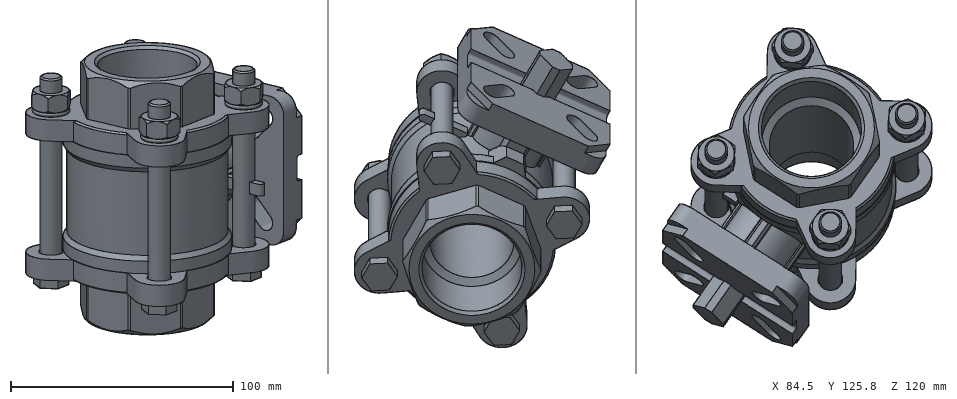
import cadquery as cq
import math

overall_length = 120.0
half_length = overall_length / 2
flange_outer_z = 38.0
flange_inner_z = 27.9

body_radius = 72.5 / 2
collar_radius = 38.0
collar_z = 22.0
collar_taper = 2.3
flange_radius = 37.6
flange_edge_drop = 0.8
flange_edge_width = 1.0

port_sides = 8
port_across_flats = 57.8
port_corner_radius = 31.0
port_chamfer = 2.8
bore_radius = 19.0
socket_radius = 44.9 / 2
socket_depth = 24.0
socket_chamfer = 1.4
socket_cone_height = 2.1

flange_span = 84.5
bolt_spacing = 61.7
bolt_offset = bolt_spacing / 2
bolt_radius = 5.0
bolt_hole_radius = 11.0 / 2
bolt_top_z = 55.1
bolt_tip_chamfer = 0.8
ear_radius = (flange_span - bolt_spacing) / 2
ear_flare = 12.4

washer_radius = 17.0 / 2
washer_height = 2.0
nut_corner_radius = 18.7 / 2
nut_height = 8.4
nut_chamfer = 1.3
head_across_flats = 14.0
head_height = 5.3

neck_radius = 16.3
neck_start_y = 30.2
rib_half_width = 2.8
rib_tip_chamfer = 1.3
side_rib_reach = 18.1
top_rib_reach = 19.0
keel_tip_half_width = 4.4
keel_root_half_width = 6.5
keel_root_z = -14.7
keel_bottom_z = -18.4
block_front_y = 42.6
block_side_slope = 0.67

plate_inner_y = 54.7
plate_outer_y = 67.9
plate_side = 70.3
plate_corner_radius = 7.9
plate_corner_cut = 11.0
plate_cut_depth = 3.9
groove_width = 12.2
groove_depth = 3.4
groove_rounding = 1.3
slot_width = 8.3
slot_inner_offset = 17.4
slot_outer_offset = 24.6

stem_end_y = 83.5
stem_reach = 8.2
stem_flat_half = 1.9

lug_end_x = flange_span / 2
lug_half_height = 2.8
lug_start_x = 18.9
lug_half_width = 1.9


def cylinder(radius, bottom, top):
    return cq.Workplane("XY").workplane(offset=bottom).circle(radius).extrude(top - bottom)


def prism_along_y(outline, start, end):
    """Extrude an outline of (x, z) points between two Y positions."""
    return cq.Workplane("XZ", origin=(0, start, 0)).polyline(outline).close().extrude(start - end)


def regular_prism(sides, corner_radius, bottom, top, turn):
    return (
        cq.Workplane("XY")
        .workplane(offset=bottom)
        .transformed(rotate=(0, 0, turn))
        .polygon(sides, 2 * corner_radius)
        .extrude(top - bottom)
    )


def four_corners(shape):
    """Repeat a shape placed at the +X +Y bolt around the pipe axis."""
    copies = shape
    for turn in (90, 180, 270):
        copies = copies.union(shape.rotate((0, 0, 0), (0, 0, 1), turn))
    return copies


def make_body():
    barrel = cylinder(body_radius, -flange_inner_z, flange_inner_z)
    collar_profile = [
        (0, collar_z - collar_taper),
        (body_radius, collar_z - collar_taper),
        (collar_radius, collar_z),
        (collar_radius, flange_inner_z),
        (0, flange_inner_z),
    ]
    collar = cq.Workplane("XZ").polyline(collar_profile).close().revolve(360, (0, 0, 0), (0, 1, 0))
    return barrel.union(collar).union(collar.mirror("XY"))


def make_ear():
    """Rounded bolt ear whose sides spread towards the pipe axis, without its hole."""
    flare = math.radians(ear_flare)
    centre_distance = bolt_offset * math.sqrt(2)
    root_distance = port_across_flats / 2
    tangent_x = centre_distance + ear_radius * math.sin(flare)
    tangent_y = ear_radius * math.cos(flare)
    root_y = tangent_y + (tangent_x - root_distance) * math.tan(flare)
    return (
        cq.Workplane("XY")
        .workplane(offset=flange_inner_z)
        .moveTo(root_distance, -root_y)
        .lineTo(tangent_x, -tangent_y)
        .threePointArc((centre_distance + ear_radius, 0), (tangent_x, tangent_y))
        .lineTo(root_distance, root_y)
        .close()
        .extrude(flange_outer_z - flange_inner_z)
        .rotate((0, 0, 0), (0, 0, 1), 45)
    )


def make_end_cap():
    """Upper flange with its four ears and the octagonal port."""
    disc = cylinder(flange_radius, flange_inner_z, flange_outer_z)
    disc = disc.faces(">Z").chamfer(flange_edge_drop, flange_edge_width)
    hole = cylinder(bolt_hole_radius, flange_inner_z, flange_outer_z)
    hole = hole.translate((bolt_offset, bolt_offset, 0))

    corner_radius = port_across_flats / 2 / math.cos(math.pi / port_sides)
    octagon = regular_prism(port_sides, corner_radius, flange_outer_z, half_length, 180 / port_sides)
    turned = cylinder(port_corner_radius, flange_outer_z, half_length)
    turned = turned.faces(">Z").chamfer(port_chamfer)
    return disc.union(four_corners(make_ear())).cut(four_corners(hole)).union(octagon.intersect(turned))


def make_socket():
    """Space removed by the stepped bore of the upper half."""
    rim_z = half_length - socket_chamfer
    step_z = half_length - socket_depth
    profile = [
        (0, 0),
        (bore_radius, 0),
        (bore_radius, step_z - socket_cone_height),
        (socket_radius, step_z),
        (socket_radius, rim_z),
        (socket_radius + socket_chamfer, half_length),
        (0, half_length),
    ]
    return cq.Workplane("XZ").polyline(profile).close().revolve(360, (0, 0, 0), (0, 1, 0))


def make_bolts():
    """The four through bolts; each nut is a quarter turn from the next, the heads all align."""
    washer_top = flange_outer_z + washer_height
    nut_top = washer_top + nut_height
    shank = cylinder(bolt_radius, -flange_outer_z, bolt_top_z).faces(">Z").chamfer(bolt_tip_chamfer)
    rim_start = washer_radius - washer_height / 2
    washer = (
        cq.Workplane("XZ")
        .moveTo(0, flange_outer_z)
        .lineTo(rim_start, flange_outer_z)
        .threePointArc((washer_radius, flange_outer_z + washer_height / 2), (rim_start, washer_top))
        .lineTo(0, washer_top)
        .close()
        .revolve(360, (0, 0, 0), (0, 1, 0))
    )
    nut_turned = cylinder(nut_corner_radius, washer_top, nut_top).edges().chamfer(nut_chamfer)
    nut = regular_prism(6, nut_corner_radius, washer_top, nut_top, 0).intersect(nut_turned)
    bolt = shank.union(washer).union(nut)
    bolts = four_corners(bolt.translate((bolt_offset, bolt_offset, 0)))

    head_corner_radius = head_across_flats / math.sqrt(3)
    head = regular_prism(6, head_corner_radius, -flange_outer_z - head_height, -flange_outer_z, 90)
    for side_x in (-1, 1):
        for side_y in (-1, 1):
            bolts = bolts.union(head.translate((side_x * bolt_offset, side_y * bolt_offset, 0)))
    return bolts


def make_rib(reach):
    """Narrow rib on the +Z side of the neck with a chamfered tip."""
    tip_half = rib_half_width - rib_tip_chamfer
    outline = [
        (-rib_half_width, 0),
        (-rib_half_width, reach - rib_tip_chamfer),
        (-tip_half, reach),
        (tip_half, reach),
        (rib_half_width, reach - rib_tip_chamfer),
        (rib_half_width, 0),
    ]
    return prism_along_y(outline, neck_start_y, plate_inner_y)


def make_neck():
    """Ribbed stem neck with a keel that drops into a block on the lower flange."""
    neck = cq.Workplane("XZ", origin=(0, neck_start_y, 0)).circle(neck_radius)
    neck = neck.extrude(neck_start_y - plate_inner_y)
    neck = neck.union(make_rib(top_rib_reach))
    for turn in (-90, 90):
        neck = neck.union(make_rib(side_rib_reach).rotate((0, 0, 0), (0, 1, 0), turn))

    keel_outline = [
        (-keel_root_half_width, 0),
        (-keel_root_half_width, keel_root_z),
        (-keel_tip_half_width, keel_bottom_z),
        (keel_tip_half_width, keel_bottom_z),
        (keel_root_half_width, keel_root_z),
        (keel_root_half_width, 0),
    ]
    keel = prism_along_y(keel_outline, neck_start_y, plate_inner_y)

    block_back_half = keel_tip_half_width + block_side_slope * (block_front_y - neck_start_y)
    block_outline = [
        (-block_back_half, neck_start_y),
        (block_back_half, neck_start_y),
        (keel_tip_half_width, block_front_y),
        (-keel_tip_half_width, block_front_y),
    ]
    block = cq.Workplane("XY").workplane(offset=-flange_inner_z).polyline(block_outline).close()
    block = block.extrude(flange_inner_z + keel_root_z)
    return neck.union(keel).union(block)


def make_plate():
    """Square actuator plate with corner cuts, a cross groove and four diagonal slots."""
    thickness = plate_outer_y - plate_inner_y
    middle_y = (plate_inner_y + plate_outer_y) / 2
    plate = cq.Workplane("XY").box(plate_side, thickness, plate_side).translate((0, middle_y, 0))
    plate = plate.edges("|Y").fillet(plate_corner_radius)

    cut_y = plate_outer_y - plate_cut_depth
    plain = cq.Workplane("XY").box(plate_side, plate_cut_depth, plate_side)
    chamfered = plain.edges("|Y").chamfer(plate_corner_cut)
    chamfered = chamfered.translate((0, cut_y + plate_cut_depth / 2, 0))
    plate = plate.cut(plain.translate((0, cut_y + plate_cut_depth / 2, 0))).union(chamfered)

    groove = cq.Workplane("XY").box(plate_side, groove_depth, groove_width)
    groove = groove.edges("|X and <Y").fillet(groove_rounding)
    plate = plate.cut(groove.translate((0, plate_outer_y - groove_depth / 2, 0)))

    slot_length = (slot_outer_offset - slot_inner_offset) * math.sqrt(2) + slot_width
    slot_centre = (slot_inner_offset + slot_outer_offset) / math.sqrt(2)
    slot = (
        cq.Workplane("XZ", origin=(0, plate_inner_y, 0))
        .center(slot_centre, 0)
        .slot2D(slot_length, slot_width)
        .extrude(-thickness)
    )
    for turn in (45, 135, 225, 315):
        plate = plate.cut(slot.rotate((0, 0, 0), (0, 1, 0), turn))
    return plate


def make_stem():
    """Square stem set on its corner, with the four corners cut flat."""
    outline = []
    for turn in range(4):
        angle = math.radians(90 * turn)
        for side in (-stem_flat_half, stem_flat_half):
            x = stem_reach * math.cos(angle) - side * math.sin(angle)
            z = stem_reach * math.sin(angle) + side * math.cos(angle)
            outline.append((x, z))
    return prism_along_y(outline, plate_inner_y, stem_end_y)


def make_lug():
    """Flat round-ended lug reaching out of the body past the +X +Y bolt."""
    end_centre_x = lug_end_x - lug_half_width
    return (
        cq.Workplane("XY")
        .workplane(offset=-lug_half_height)
        .moveTo(lug_start_x, bolt_offset - lug_half_width)
        .lineTo(end_centre_x, bolt_offset - lug_half_width)
        .threePointArc((lug_end_x, bolt_offset), (end_centre_x, bolt_offset + lug_half_width))
        .lineTo(lug_start_x, bolt_offset + lug_half_width)
        .close()
        .extrude(2 * lug_half_height)
    )


end_cap = make_end_cap()
socket = make_socket()

result = (
    make_body()
    .union(end_cap)
    .union(end_cap.mirror("XY"))
    .union(make_neck())
    .union(make_plate())
    .union(make_stem())
    .union(make_lug())
    .union(make_bolts())
    .cut(socket)
    .cut(socket.mirror("XY"))
)